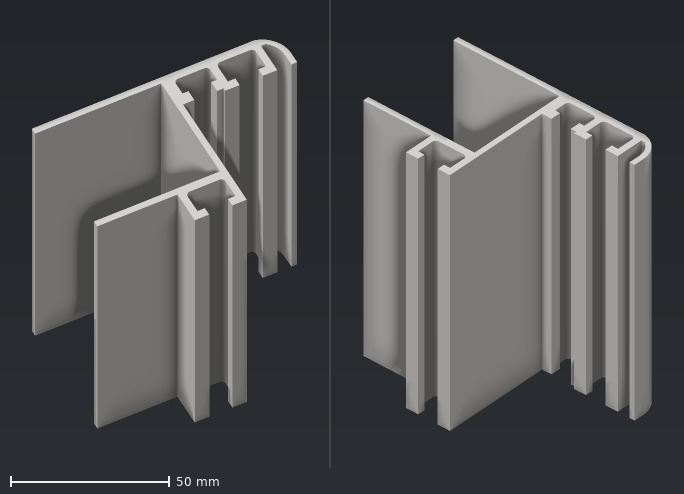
import cadquery as cq
import math

LENGTH = 100.0
WIDTH = 57.0
DEPTH = 87.0

LEG_WALL = 2.3
PLATE_WALL = 2.2
TRACK_FLOOR = 3.0

TRACK_WIDTH = 14.2
TRACK_HEIGHT = 18.5
TRACK_FLANGE = 2.5
TRACK_MOUTH = 8.2
TRACK_LIP = 3.0
SLOT_RADIUS = 1.5

NARROW_WIDTH = 13.1
NARROW_SLOT_HEIGHT = 12.3
NARROW_MOUTH = 8.1
NARROW_LIP = 4.1
NARROW_SLOT_TOP = DEPTH - 25.8

UPPER_TRACK_TOP = DEPTH - 7.1
PLATE_TOP = DEPTH - 40.0
PLATE_BOTTOM = PLATE_TOP - PLATE_WALL
RIGHT_LEG_X = WIDTH - TRACK_WIDTH

HOOK_WALL = 2.1
HOOK_ARC_END_X = 10.0
HOOK_ARC_DROP = 8.0
HOOK_INNER_RADIUS = 9.0
HOOK_RADIUS = (HOOK_ARC_END_X**2 + HOOK_ARC_DROP**2) / (2 * HOOK_ARC_DROP)


def block(x_min, x_max, y_min, y_max):
    """Full-length rectangular bar between the given X and Y limits."""
    return cq.Workplane("XY").box(
        x_max - x_min, y_max - y_min, LENGTH, centered=False
    ).translate((x_min, y_min, 0))


def slot(x_min, y_top, height, lip_x, mouth, outer_x):
    """Void of a C-track: a chamber with rounded floor corners and a mouth."""
    y_bottom = y_top - height
    y_middle = y_top - height / 2
    chamber = block(x_min, lip_x, y_bottom, y_top).edges("|Z and <X").fillet(SLOT_RADIUS)
    opening = block(lip_x, outer_x, y_middle - mouth / 2, y_middle + mouth / 2)
    return chamber.union(opening)


def wide_track(x_min, y_top):
    """C-track with its back face at x_min and its upper face at y_top."""
    x_max = x_min + TRACK_WIDTH
    body = block(x_min, x_max, y_top - TRACK_HEIGHT, y_top)
    void = slot(
        x_min + TRACK_FLOOR,
        y_top - TRACK_FLANGE,
        TRACK_HEIGHT - 2 * TRACK_FLANGE,
        x_max - TRACK_LIP,
        TRACK_MOUTH,
        x_max,
    )
    return body.cut(void)


def narrow_track():
    """Lipped slot joining the upper wide track to the cross plate."""
    body = block(0, NARROW_WIDTH, PLATE_BOTTOM, UPPER_TRACK_TOP - TRACK_HEIGHT)
    void = slot(
        TRACK_FLOOR,
        NARROW_SLOT_TOP,
        NARROW_SLOT_HEIGHT,
        NARROW_WIDTH - NARROW_LIP,
        NARROW_MOUTH,
        NARROW_WIDTH,
    )
    return body.cut(void)


def arc_point(radius, y_crest, x):
    """Point at x on a hook arc that levels out at y_crest."""
    return (x, y_crest - radius + math.sqrt(radius**2 - (x - HOOK_ARC_END_X)**2))


def hook():
    """Curved lip sweeping from the long leg over the upper track."""
    inner_crest = DEPTH - HOOK_WALL
    return (
        cq.Workplane("XY")
        .moveTo(0, UPPER_TRACK_TOP - TRACK_FLANGE)
        .lineTo(0, DEPTH - HOOK_ARC_DROP)
        .threePointArc(
            arc_point(HOOK_RADIUS, DEPTH, HOOK_ARC_END_X / 2),
            (HOOK_ARC_END_X, DEPTH),
        )
        .lineTo(TRACK_WIDTH, DEPTH)
        .lineTo(TRACK_WIDTH, inner_crest)
        .lineTo(HOOK_ARC_END_X, inner_crest)
        .threePointArc(
            arc_point(HOOK_INNER_RADIUS, inner_crest, (HOOK_ARC_END_X + TRACK_FLOOR) / 2),
            arc_point(HOOK_INNER_RADIUS, inner_crest, TRACK_FLOOR),
        )
        .lineTo(TRACK_FLOOR, UPPER_TRACK_TOP - TRACK_FLANGE)
        .close()
        .extrude(LENGTH)
    )


long_leg = block(0, LEG_WALL, 0, PLATE_TOP)
right_leg = block(RIGHT_LEG_X, RIGHT_LEG_X + LEG_WALL, 0, PLATE_TOP)
cross_plate = block(0, RIGHT_LEG_X, PLATE_BOTTOM, PLATE_TOP)

track_corner = block(0, TRACK_FLOOR, DEPTH - HOOK_ARC_DROP, UPPER_TRACK_TOP)
upper_track = wide_track(0, UPPER_TRACK_TOP).cut(track_corner)

result = (
    long_leg.union(right_leg)
    .union(cross_plate)
    .union(wide_track(RIGHT_LEG_X, PLATE_TOP))
    .union(upper_track)
    .union(narrow_track())
    .union(hook())
)